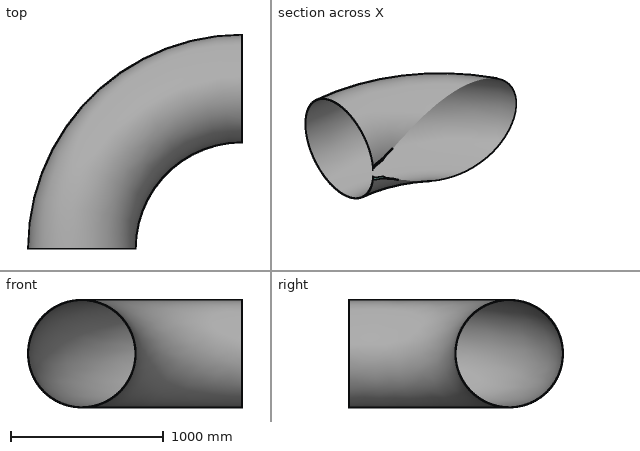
import cadquery as cq

bore_diameter = 700.0
wall_thickness = 4.0
bend_angle = 90.0
bend_radius = 1.5 * bore_diameter

bore_radius = bore_diameter / 2
outer_radius = bore_radius + wall_thickness


def bent_rod(radius):
    """Solid quarter torus with a round section of the given radius.

    The start section faces -Y and is centred on the origin. The bend axis is
    parallel to Z at X = bend_radius, so the other end faces +X.
    """
    axis_top = (bend_radius, 1, 0)
    axis_base = (bend_radius, 0, 0)
    return cq.Workplane("XZ").circle(radius).revolve(bend_angle, axis_top, axis_base)


outer_bend = bent_rod(outer_radius)
bore = bent_rod(bore_radius)

result = outer_bend.cut(bore)